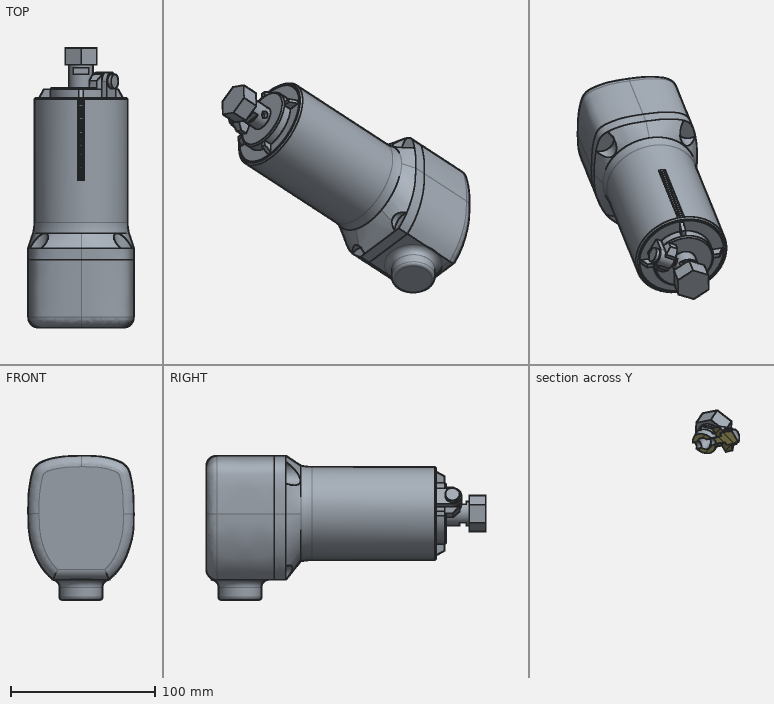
import cadquery as cq
import math


BARREL_RADIUS = 64.9 / 2
BARREL_LENGTH = 86.3
BARREL_CHAMFER = 1.2
NECK_LENGTH = 7.6
NECK_RADIUS = 33.3
SHOULDER_LENGTH = 10.4
FLANGE_THICKNESS = 8.2
SHOULDER_START = -(BARREL_LENGTH + NECK_LENGTH)
FLANGE_BACK = SHOULDER_START - SHOULDER_LENGTH
FLANGE_FRONT = FLANGE_BACK - FLANGE_THICKNESS

NOTCH_COUNT = 24
NOTCH_PITCH = 2.337
NOTCH_OPENING = 2.2
NOTCH_LENGTH = 4.4
RACK_START = 1.3

HEAD_LENGTH = 47.1
HEAD_HALF_WIDTH = 73.5 / 2
HEAD_TOP = 40.13
HEAD_BOTTOM = -46.0
HEAD_FLOOR_HALF_WIDTH = 19.4
HEAD_FRONT_FILLET = 7.5
HEAD_FRONT = FLANGE_FRONT - HEAD_LENGTH
CROWN_CURVE = [(21.3, 38.0), (28.6, 35.1), (32.4, 31.5), (34.2, 27.0), (35.9, 18.0)]
CHEEK_CURVE = [(35.3, -18.0), (30.9, -31.0), (24.2, -41.3)]

POCKET_RADIUS = 17.0 / 2
POCKET_CENTRES = [(31.3, 28.2), (24.0, -44.5)]

PORT_RADIUS = 30.0 / 2
PORT_BOTTOM = -60.0
PORT_Y = -136.1
PORT_RIM_FILLET = 2.2
PORT_FLARE = 5.0
PORT_ROOT_DEPTH = 8.0

CAP_BASE_RADIUS = 60.0 / 2
CAP_BASE_THICKNESS = 5.0
HUB_RADIUS = 42.6 / 2
HUB_HEIGHT = 6.9
HUB_CHAMFER = 1.1
RIB_COUNT = 4
RIB_WIDTH = 2.9
RIB_HEIGHT = 5.8
RIB_FOOT_RADIUS = 29.0
RIB_TOP_RADIUS = 25.8

LOCK_ANGLE = 30.0
LOCK_Y = 11.2
BLOCK_INNER = 12.7
BLOCK_SHOULDER = 18.5
BLOCK_NECK = 20.4
BLOCK_OUTER = 24.3
BLOCK_HALF_WIDTH = 10.5
BLOCK_TOP = 16.1
BLOCK_CHAMFER = 4.6
GUIDE_HALF_WIDTH = 6.3

PIN_HEAD_RADIUS = 10.0 / 2
PIN_SHANK_RADIUS = 5.0 / 2
PIN_OUTER = 27.0
PIN_HEAD_INNER = 17.0
PIN_TIP = 9.5

SPINDLE_RADIUS = 17.0 / 2
SPINDLE_BORE_RADIUS = 9.0 / 2
SPINDLE_FLATS = 13.0
FLATS_START = 16.2
FLATS_LENGTH = 4.5

NUT_SIDES = 6
NUT_ACROSS_FLATS = 21.8
NUT_THICKNESS = 11.7
NUT_TURN = 1.3
NUT_END = 34.4
NUT_BASE = NUT_END - NUT_THICKNESS


def plane_at(y):
    """Plane facing +Y at height y, with local x along -X and local y along +Z."""
    return cq.Plane(origin=(0, y, 0), xDir=(-1, 0, 0), normal=(0, 1, 0))


def disc(radius, y_start, y_end):
    """Round bar along the drive axis."""
    return cq.Workplane(plane_at(y_start)).circle(radius).extrude(y_end - y_start)


def radial_bar(radius, r_start, r_end):
    """Round bar along the lock direction, between two distances from the drive axis."""
    angle = math.radians(LOCK_ANGLE)
    direction = cq.Vector(math.cos(angle), 0, math.sin(angle))
    start = direction * r_start + cq.Vector(0, LOCK_Y, 0)
    return cq.Workplane(cq.Solid.makeCylinder(radius, r_end - r_start, start, direction))


def mirrored(points):
    """The same points on the other side of the middle plane, in reverse order."""
    return [(-x, z) for x, z in reversed(points)]


def head_outline_prism(y, length):
    """Bar with the outline of the gear head: four curved quarters and a flat floor."""
    crown = (0, HEAD_TOP)
    right = (HEAD_HALF_WIDTH, 0)
    left = (-HEAD_HALF_WIDTH, 0)
    floor_right = (HEAD_FLOOR_HALF_WIDTH, HEAD_BOTTOM)
    floor_left = (-HEAD_FLOOR_HALF_WIDTH, HEAD_BOTTOM)
    floor_slope = (HEAD_FLOOR_HALF_WIDTH - CHEEK_CURVE[-1][0], HEAD_BOTTOM - CHEEK_CURVE[-1][1])
    rising_slope = (floor_slope[0], -floor_slope[1])
    return (
        cq.Workplane(plane_at(y))
        .moveTo(*crown)
        .spline([*CROWN_CURVE, right], tangents=[(1, 0), (0, -1)], includeCurrent=True)
        .spline([*CHEEK_CURVE, floor_right], tangents=[(0, -1), floor_slope], includeCurrent=True)
        .lineTo(*floor_left)
        .spline([*mirrored(CHEEK_CURVE), left], tangents=[rising_slope, (0, 1)], includeCurrent=True)
        .spline([*mirrored(CROWN_CURVE), crown], tangents=[(0, 1), (1, 0)], includeCurrent=True)
        .close()
        .extrude(length)
    )


def neck_arc(edge):
    """Arc of the neck circle that lies radially inside an edge of the head outline."""
    points = []
    for position in (0, 0.5, 1):
        point = edge.positionAt(position)
        scale = NECK_RADIUS / math.hypot(point.x, point.z)
        points.append(cq.Vector(point.x * scale, SHOULDER_START, point.z * scale))
    return cq.Edge.makeThreePointArc(*points)


def shoulder(flange):
    """Ruled transition from the flange outline to the round neck, with the screw pockets."""
    flange_wire = flange.faces(">Y").wires().val()
    neck_wire = cq.Wire.assembleEdges([neck_arc(edge) for edge in flange_wire.Edges()])
    body = cq.Workplane(cq.Solid.makeLoft([flange_wire, neck_wire], True))
    for x, z in POCKET_CENTRES:
        for side in (-1, 1):
            pocket = disc(POCKET_RADIUS, FLANGE_BACK, -BARREL_LENGTH)
            body = body.cut(pocket.translate((side * x, 0, z)))
    return body


def barrel_and_neck():
    """Barrel that flares out along a hollow arc, tangent to the barrel, into the neck."""
    flare = NECK_RADIUS - BARREL_RADIUS
    flare_middle = (BARREL_RADIUS + flare / 4, -BARREL_LENGTH - NECK_LENGTH / 2)
    return (
        cq.Workplane("XY")
        .moveTo(0, 0)
        .lineTo(BARREL_RADIUS - BARREL_CHAMFER, 0)
        .lineTo(BARREL_RADIUS, -BARREL_CHAMFER)
        .lineTo(BARREL_RADIUS, -BARREL_LENGTH)
        .threePointArc(flare_middle, (NECK_RADIUS, SHOULDER_START))
        .lineTo(0, SHOULDER_START)
        .close()
        .revolve(360, (0, 0), (0, 1))
    )


def rack_notch(y):
    """V cutter with square flanks that reaches as far above the barrel as below its surface."""
    depth = NOTCH_OPENING / 2
    return (
        cq.Workplane("YZ", origin=(-NOTCH_LENGTH / 2, y, BARREL_RADIUS))
        .polyline([(-2 * depth, depth), (0, -depth), (2 * depth, depth)])
        .close()
        .extrude(NOTCH_LENGTH)
    )


def make_housing():
    flange = head_outline_prism(FLANGE_FRONT, FLANGE_THICKNESS)
    housing = flange.union(shoulder(flange)).union(barrel_and_neck())
    housing = housing.cut(disc(CAP_BASE_RADIUS, -CAP_BASE_THICKNESS, 0))
    for i in range(NOTCH_COUNT):
        housing = housing.cut(rack_notch(-RACK_START - (i + 0.5) * NOTCH_PITCH))
    return housing


def port():
    """Round port that flares out where it meets the floor of the head."""
    collar_top = HEAD_BOTTOM - PORT_FLARE
    bend = PORT_FLARE * (1 - math.sqrt(0.5))
    flare_middle = (PORT_RADIUS + bend, HEAD_BOTTOM - bend)
    return (
        cq.Workplane("XY")
        .moveTo(0, PORT_BOTTOM)
        .lineTo(PORT_RADIUS - PORT_RIM_FILLET, PORT_BOTTOM)
        .radiusArc((PORT_RADIUS, PORT_BOTTOM + PORT_RIM_FILLET), -PORT_RIM_FILLET)
        .lineTo(PORT_RADIUS, collar_top)
        .threePointArc(flare_middle, (PORT_RADIUS + PORT_FLARE, HEAD_BOTTOM))
        .lineTo(0, HEAD_BOTTOM + PORT_ROOT_DEPTH)
        .close()
        .revolve(360, (0, 0), (0, 1))
        .rotate((0, 0, 0), (1, 0, 0), 90)
        .translate((0, PORT_Y, 0))
    )


def make_head():
    head = head_outline_prism(HEAD_FRONT, HEAD_LENGTH)
    head = head.faces("<Y").edges().fillet(HEAD_FRONT_FILLET)
    return head.union(port())


def lock_block():
    """Block with chamfered flanks and an arched pin guide, turned to the lock direction."""
    outline = [
        (BLOCK_INNER, BLOCK_HALF_WIDTH),
        (BLOCK_SHOULDER, BLOCK_HALF_WIDTH),
        (BLOCK_NECK, GUIDE_HALF_WIDTH),
        (BLOCK_NECK, -GUIDE_HALF_WIDTH),
        (BLOCK_SHOULDER, -BLOCK_HALF_WIDTH),
        (BLOCK_INNER, -BLOCK_HALF_WIDTH),
    ]
    plan = cq.Plane(origin=(0, 0, 0), xDir=(1, 0, 0), normal=(0, -1, 0))
    block = cq.Workplane(plan).polyline(outline).close().extrude(-BLOCK_TOP)
    eave = BLOCK_TOP - BLOCK_CHAMFER
    ridge_half_width = BLOCK_HALF_WIDTH - BLOCK_CHAMFER
    roof_profile = [
        (0, -BLOCK_HALF_WIDTH),
        (eave, -BLOCK_HALF_WIDTH),
        (BLOCK_TOP, -ridge_half_width),
        (BLOCK_TOP, ridge_half_width),
        (eave, BLOCK_HALF_WIDTH),
        (0, BLOCK_HALF_WIDTH),
    ]
    block_side = cq.Workplane("YZ", origin=(BLOCK_INNER, 0, 0))
    roof = block_side.polyline(roof_profile).close().extrude(BLOCK_NECK - BLOCK_INNER)
    block = block.intersect(roof)
    guide = (
        block_side.moveTo(0, -GUIDE_HALF_WIDTH)
        .lineTo(LOCK_Y, -GUIDE_HALF_WIDTH)
        .threePointArc((LOCK_Y + GUIDE_HALF_WIDTH, 0), (LOCK_Y, GUIDE_HALF_WIDTH))
        .lineTo(0, GUIDE_HALF_WIDTH)
        .close()
        .extrude(BLOCK_OUTER - BLOCK_INNER)
    )
    return block.union(guide).rotate((0, 0, 0), (0, 1, 0), -LOCK_ANGLE)


def make_cap():
    cap = disc(CAP_BASE_RADIUS, -CAP_BASE_THICKNESS, 0)
    cap = cap.union(disc(HUB_RADIUS, 0, HUB_HEIGHT).faces(">Y").edges().chamfer(HUB_CHAMFER))
    rib = (
        cq.Workplane("XY")
        .polyline([(0, 0), (RIB_FOOT_RADIUS, 0), (RIB_TOP_RADIUS, RIB_HEIGHT), (0, RIB_HEIGHT)])
        .close()
        .extrude(RIB_WIDTH / 2, both=True)
    )
    for i in range(RIB_COUNT):
        cap = cap.union(rib.rotate((0, 0, 0), (0, 1, 0), i * 360 / RIB_COUNT))
    cap = cap.union(lock_block())
    return cap.cut(make_lock_pin())


def make_lock_pin():
    head = radial_bar(PIN_HEAD_RADIUS, PIN_HEAD_INNER, PIN_OUTER)
    return head.union(radial_bar(PIN_SHANK_RADIUS, PIN_TIP, PIN_OUTER))


def make_spindle():
    spindle = disc(SPINDLE_RADIUS, HUB_HEIGHT, NUT_BASE)
    spindle = spindle.cut(disc(SPINDLE_BORE_RADIUS, HUB_HEIGHT, NUT_BASE))
    reach = 2 * SPINDLE_RADIUS
    slot = cq.Workplane("XY").box(reach, FLATS_LENGTH, reach, centered=(True, False, False))
    slot = slot.translate((0, FLATS_START, SPINDLE_FLATS / 2))
    spindle = spindle.cut(slot).cut(slot.mirror("XY"))
    return spindle.cut(radial_bar(PIN_SHANK_RADIUS, -reach, reach))


def make_nut():
    corner_angle = 360 / NUT_SIDES
    across_corners = NUT_ACROSS_FLATS / math.cos(math.radians(corner_angle / 2))
    nut = cq.Workplane(plane_at(NUT_BASE)).polygon(NUT_SIDES, across_corners).extrude(NUT_THICKNESS)
    return nut.rotate((0, 0, 0), (0, 1, 0), corner_angle / 2 + NUT_TURN)


housing = make_housing()
head = make_head()
cap = make_cap()
lock_pin = make_lock_pin()
spindle = make_spindle()
nut = make_nut()

bodies = [housing, head, cap, lock_pin, spindle, nut]
result = cq.Compound.makeCompound([body.solids().val() for body in bodies])